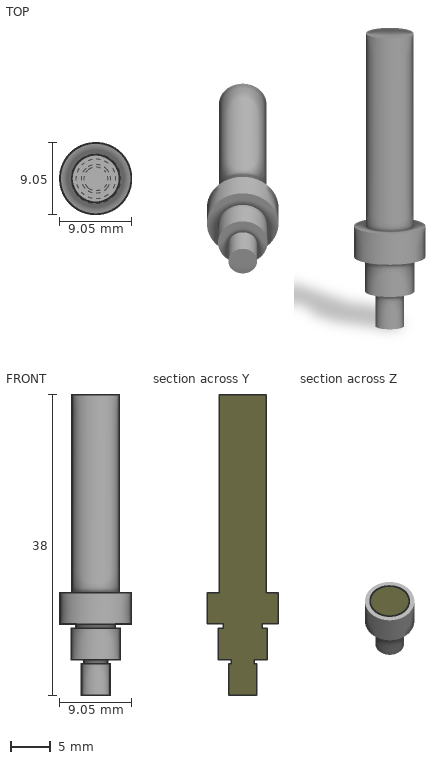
import cadquery as cq

tip_diameter = 3.65
tip_length = 4.0
lower_neck_diameter = 3.0
upper_neck_diameter = 5.0
neck_length = 0.5
collar_diameter = 6.25
collar_length = 4.0
flange_diameter = 9.05
flange_length = 4.0
shaft_diameter = 6.0
shaft_length = 25.0

steps = [
    (tip_diameter, tip_length),
    (lower_neck_diameter, neck_length),
    (collar_diameter, collar_length),
    (upper_neck_diameter, neck_length),
    (flange_diameter, flange_length),
    (shaft_diameter, shaft_length),
]


def stack_cylinders(cylinders):
    """Stack coaxial cylinders along +Z, starting at Z = 0."""
    pin = cq.Workplane("XY")
    base_height = 0
    for diameter, length in cylinders:
        step = cq.Workplane("XY").workplane(offset=base_height).circle(diameter / 2).extrude(length)
        pin = pin.union(step)
        base_height += length
    return pin


result = stack_cylinders(steps)